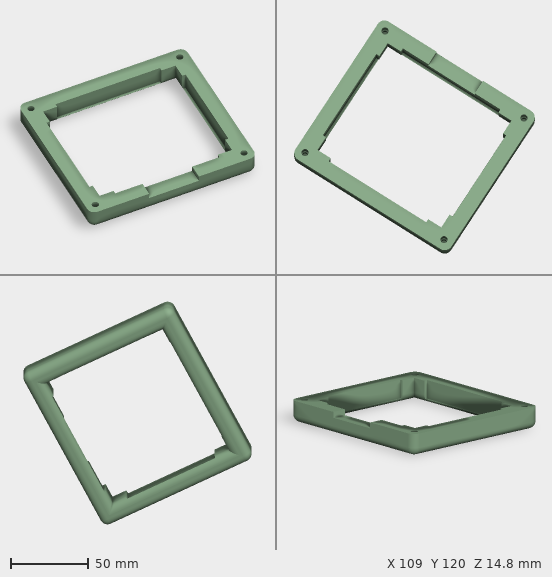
import cadquery as cq

LENGTH_X = 109.0
LENGTH_Y = 120.0
HEIGHT = 14.8
EDGE_RADIUS = 5.0

OPENING_X = 84.2
OPENING_Y = 95.3

PAD_LENGTH = 10.1
RECESS_DEPTH = 2.4
LEDGE_TOP = 2.4

NOTCH_WIDTH = 35.8
NOTCH_DEPTH = 4.0

HOLE_INSET = 6.5
BORE_DIAMETER = 4.7
BORE_DEPTH = 6.0
PILOT_DIAMETER = 3.1
PILOT_DEPTH = 9.6


def box_from(bottom, size_x, size_y):
    """Centred box reaching from the given height to the top face."""
    return cq.Workplane("XY").workplane(offset=bottom).rect(size_x, size_y).extrude(HEIGHT - bottom)


def make_frame():
    """Rectangular ring with rounded outer corners and rounded bottom rims."""
    outer = box_from(0, LENGTH_X, LENGTH_Y).edges("|Z").fillet(EDGE_RADIUS)
    ring = outer.cut(box_from(0, OPENING_X, OPENING_Y))
    return ring.faces("<Z").edges().fillet(EDGE_RADIUS)


def cut_recesses(body):
    """Thin the four walls above the ledge, leaving full-thickness corner pads."""
    along_x = box_from(LEDGE_TOP, OPENING_X - 2 * PAD_LENGTH, OPENING_Y + 2 * RECESS_DEPTH)
    along_y = box_from(LEDGE_TOP, OPENING_X + 2 * RECESS_DEPTH, OPENING_Y - 2 * PAD_LENGTH)
    return body.cut(along_x).cut(along_y)


def cut_notch(body):
    """Lower the middle of the +X wall."""
    notch_length = LENGTH_X / 2
    notch = box_from(HEIGHT - NOTCH_DEPTH, notch_length, NOTCH_WIDTH)
    return body.cut(notch.translate((notch_length / 2, 0, 0)))


def cut_screw_holes(body):
    """Cut a wide bore over a narrower pilot hole at each corner."""
    spacing_x = LENGTH_X - 2 * HOLE_INSET
    spacing_y = LENGTH_Y - 2 * HOLE_INSET
    for diameter, depth in ((BORE_DIAMETER, BORE_DEPTH), (PILOT_DIAMETER, PILOT_DEPTH)):
        holes = (
            cq.Workplane("XY")
            .workplane(offset=HEIGHT)
            .rect(spacing_x, spacing_y, forConstruction=True)
            .vertices()
            .circle(diameter / 2)
            .extrude(-depth)
        )
        body = body.cut(holes)
    return body


result = cut_screw_holes(cut_notch(cut_recesses(make_frame())))